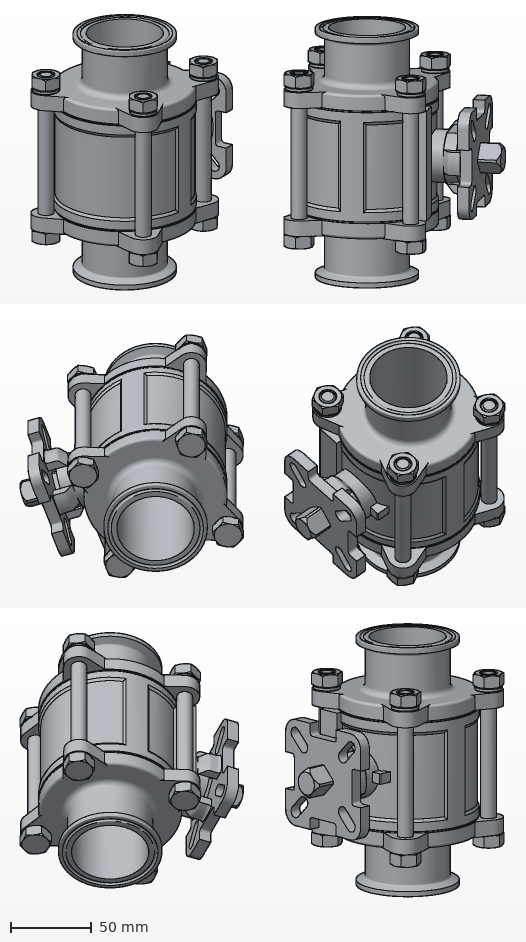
import cadquery as cq
import math


length = 158.0
bore_diameter = 47.7
tube_diameter = 52.8
ferrule_diameter = 64.0
ferrule_rim = 3.3
ferrule_angle = 20.0
ferrule_fillet = 1.3
groove_center_diameter = 56.9
groove_radius = 1.1
groove_edge_fillet = 0.3
tube_root_fillet = 4.0

body_diameter = 88.5
flange_top = 45.5
flange_thickness = 10.0
flange_edge_fillet = 1.9
bolt_spacing = 70.6
lobe_radius = 9.3
lobe_flank_angle = 20.5
seal_gap = 1.0
seal_diameter = 87.2
panel_depth = 1.1
panel_half_height = 28.6
panel_bevel = 1.9
rib_width = 14.7
rib_root_depth = 4.7

bolt_diameter = 10.0
bolt_end_chamfer = 1.1
hex_width = 17.0
nut_height = 8.0
head_height = 8.0
nut_countersink = 11.0
washer_diameter = 17.0
washer_height = 2.5
washer_chamfer = 0.5
hex_chamfer_angle = 30.0

neck_diameter = 33.0
shoulder_diameter = 34.8
shoulder_start = 49.8
shoulder_end = 51.8
neck_end = 59.9
stop_lug_height = 6.6
stop_lug_reach = 23.2
stop_lug_top = 45.3
stop_lug_chamfer = 0.6
pad_reach = 31.6
pad_top = 44.4
neck_root = 28.5
stem_end = 86.1
stem_square = 14.5
stem_round_diameter = 19.0
stem_tip_chamfer = 2.2

plate_size = 67.6
plate_start = 64.5
plate_thickness = 7.5
plate_corner_radius = 9.2
notch_width = 23.4
notch_depth = 7.9
notch_fillet = 2.0
slot_width = 7.5
slot_inner_radius = 25.0
slot_outer_radius = 35.4
leg_width = 14.7
leg_outer_radius = 23.0
leg_inner_offset = 16.3
leg_bend = 56.5
leg_bend_fillet = 3.2
leg_root_height = 1.9
leg_root_flare = 1.3

half_length = length / 2
body_radius = body_diameter / 2
tube_radius = tube_diameter / 2
neck_radius = neck_diameter / 2
shoulder_radius = shoulder_diameter / 2
bolt_offset = bolt_spacing / 2
flange_bottom = flange_top - flange_thickness
body_half_height = flange_bottom - seal_gap
nut_bottom = flange_top + washer_height
nut_top = nut_bottom + nut_height
bolt_points = [(sx * bolt_offset, sy * bolt_offset) for sx in (-1, 1) for sy in (-1, 1)]


def y_plane(y):
    """Sketch plane facing -Y: local x is X, local y is Z; extrude by a negative length to go +Y."""
    return cq.Workplane("XZ", origin=(0, y, 0))


def pipe_end():
    """Upper tube with a flared root and a clamp ferrule whose back face is conical."""
    ferrule_radius = ferrule_diameter / 2
    slope = math.tan(math.radians(ferrule_angle))
    cone_corner = half_length - ferrule_rim - slope * (ferrule_radius - tube_radius)
    tangent_length = ferrule_fillet * math.tan(math.radians(45 - ferrule_angle / 2))
    fillet_start = tube_radius + tangent_length * math.cos(math.radians(ferrule_angle))
    profile = (
        cq.Workplane("XZ")
        .moveTo(0, flange_bottom)
        .lineTo(0, half_length)
        .lineTo(ferrule_radius, half_length)
        .lineTo(ferrule_radius, half_length - ferrule_rim)
        .lineTo(fillet_start, cone_corner + slope * (fillet_start - tube_radius))
        .tangentArcPoint((tube_radius, cone_corner - tangent_length), relative=False)
        .lineTo(tube_radius, flange_top + tube_root_fillet)
        .radiusArc((tube_radius + tube_root_fillet, flange_top), -tube_root_fillet)
        .lineTo(tube_radius + tube_root_fillet, flange_bottom)
        .close()
    )
    groove = cq.Workplane("XY").add(
        cq.Solid.makeTorus(groove_center_diameter / 2, groove_radius, cq.Vector(0, 0, half_length))
    )
    tube = profile.revolve(360, (0, 0, 0), (0, 1, 0)).cut(groove)
    for edge_rank in (0, 1):
        rim = cq.selectors.RadiusNthSelector(edge_rank)
        tube = tube.faces(">Z").edges(rim).fillet(groove_edge_fillet)
    return tube


def corner_lobe():
    """Flange lobe at the (+X, +Y) bolt: a round tip whose straight flanks splay towards the disc."""
    flank = math.radians(lobe_flank_angle)
    side_dx = lobe_radius * math.sin(flank)
    side_dy = lobe_radius * math.cos(flank)
    flank_length = bolt_offset
    run = flank_length * math.cos(flank)
    drop = flank_length * math.sin(flank)
    upper = (bolt_offset - side_dx, bolt_offset + side_dy)
    right = (bolt_offset + side_dy, bolt_offset - side_dx)
    tip = bolt_offset + lobe_radius / math.sqrt(2)
    return (
        cq.Workplane("XY", origin=(0, 0, flange_bottom))
        .moveTo(0, 0)
        .lineTo(upper[0] - run, upper[1] - drop)
        .lineTo(*upper)
        .threePointArc((tip, tip), right)
        .lineTo(right[0] - drop, right[1] - run)
        .close()
        .extrude(flange_thickness)
    )


def end_flange():
    """Upper flange: a disc with a rounded top edge and four bolt lobes."""
    flange = (
        cq.Workplane("XY", origin=(0, 0, flange_bottom))
        .circle(body_radius)
        .extrude(flange_thickness)
        .faces(">Z")
        .edges()
        .fillet(flange_edge_fillet)
    )
    lobe = corner_lobe()
    for quarter in range(4):
        flange = flange.union(lobe.rotate((0, 0, 0), (0, 0, 1), 90 * quarter))
    return flange


def rib():
    """Bevel-sided rib along +X that keeps the body wall between two panels."""
    half = rib_width / 2
    edge = math.sqrt(body_radius**2 - half**2)
    root = edge - rib_root_depth
    spread = half + rib_root_depth
    return (
        cq.Workplane("XY", origin=(0, 0, -panel_half_height))
        .polyline([
            (root, -spread),
            (edge, -half),
            (body_radius, -half),
            (body_radius, half),
            (edge, half),
            (root, spread),
        ])
        .close()
        .extrude(2 * panel_half_height)
    )


def valve_body():
    """Round body with shallow bevelled panels left between two ribs (+X and -X)."""
    outer = body_radius + panel_depth
    floor = body_radius - panel_depth
    mouth = panel_half_height + panel_bevel
    panels = (
        cq.Workplane("XZ")
        .polyline([
            (outer, mouth),
            (floor, panel_half_height - panel_bevel),
            (floor, panel_bevel - panel_half_height),
            (outer, -mouth),
        ])
        .close()
        .revolve(360, (0, 0, 0), (0, 1, 0))
    )
    body = cq.Workplane("XY").circle(body_radius).extrude(body_half_height, both=True)
    ribbed = body.cut(panels)
    kept = rib().intersect(body)
    ribbed = ribbed.union(kept).union(kept.mirror("YZ"))
    seal = cq.Workplane("XY", origin=(0, 0, body_half_height)).circle(seal_diameter / 2).extrude(seal_gap)
    return ribbed.union(seal).union(seal.mirror("XY"))


def hexagon(height):
    """Hexagon standing on z = 0, points along X, corners turned off conically at both faces."""
    corner_radius = hex_width / math.sqrt(3)
    drop = (corner_radius - hex_width / 2) * math.tan(math.radians(hex_chamfer_angle))
    turned = (
        cq.Workplane("XZ")
        .polyline([
            (0, 0),
            (hex_width / 2, 0),
            (corner_radius, drop),
            (corner_radius, height - drop),
            (hex_width / 2, height),
            (0, height),
        ])
        .close()
        .revolve(360, (0, 0, 0), (0, 1, 0))
    )
    return cq.Workplane("XY").polygon(6, 2 * corner_radius).extrude(height).intersect(turned)


def bolt_set():
    """Bolt with its head below, and a washer and countersunk nut above; axis on Z."""
    shank = (
        cq.Workplane("XY", origin=(0, 0, -flange_top))
        .circle(bolt_diameter / 2)
        .extrude(flange_top + nut_top)
        .faces(">Z")
        .chamfer(bolt_end_chamfer)
    )
    head = hexagon(head_height).translate((0, 0, -flange_top - head_height))
    washer = (
        cq.Workplane("XY", origin=(0, 0, flange_top))
        .circle(washer_diameter / 2)
        .extrude(washer_height)
        .edges()
        .chamfer(washer_chamfer)
    )
    nut = (
        hexagon(nut_height)
        .faces(">Z")
        .workplane()
        .cskHole(bolt_diameter, nut_countersink, 90)
        .translate((0, 0, nut_bottom))
    )
    return nut.union(washer).union(shank).union(head)


def stem_neck():
    """Round neck on the body with a flared shoulder under the leg feet."""
    return (
        cq.Workplane("XY")
        .moveTo(0, neck_root)
        .lineTo(neck_radius, neck_root)
        .lineTo(neck_radius, shoulder_start)
        .tangentArcPoint((shoulder_radius, shoulder_end), relative=False)
        .lineTo(neck_radius, shoulder_end)
        .lineTo(neck_radius, neck_end)
        .lineTo(0, neck_end)
        .close()
        .revolve(360, (0, 0, 0), (0, 1, 0))
    )


def stop_lug():
    """Small chamfered lug on the -X side of the neck."""
    return (
        cq.Workplane("XY")
        .box(stop_lug_reach, stop_lug_top - neck_root, stop_lug_height, centered=(False, False, True))
        .translate((-stop_lug_reach, neck_root, 0))
        .edges("<X and >Y")
        .chamfer(stop_lug_chamfer)
    )


def side_pad():
    """Flat-topped pad on the +X side of the neck, as tall as the body."""
    width = pad_reach - neck_radius
    return (
        cq.Workplane("XY")
        .box(width, pad_top - neck_root, 2 * body_half_height, centered=(False, False, True))
        .translate((neck_radius, neck_root, 0))
    )


def stem():
    """Square stem turned 45 degrees, its corners rounded and its tip chamfered by turning."""
    stem_length = stem_end - shoulder_end
    square = (
        y_plane(shoulder_end)
        .transformed(rotate=(0, 0, 45))
        .rect(stem_square, stem_square)
        .extrude(-stem_length)
    )
    turned = (
        y_plane(shoulder_end)
        .circle(stem_round_diameter / 2)
        .extrude(-stem_length)
        .faces(">Y")
        .chamfer(stem_tip_chamfer)
    )
    return square.intersect(turned)


def mounting_plate():
    """Square plate with rounded corners, a notch in each side and a diagonal slot in each corner."""
    plate = (
        y_plane(plate_start)
        .rect(plate_size, plate_size)
        .extrude(-plate_thickness)
        .edges("|Y")
        .fillet(plate_corner_radius)
    )
    notch = (
        y_plane(plate_start)
        .center(plate_size / 2, 0)
        .rect(2 * notch_depth, notch_width)
        .extrude(-plate_thickness)
        .edges("|Y and <X")
        .fillet(notch_fillet)
    )
    slot = (
        y_plane(plate_start)
        .center((slot_inner_radius + slot_outer_radius) / 2, 0)
        .slot2D(slot_outer_radius - slot_inner_radius + slot_width, slot_width)
        .extrude(-plate_thickness)
    )
    for quarter in range(4):
        plate = plate.cut(notch.rotate((0, 0, 0), (0, 1, 0), 90 * quarter))
        plate = plate.cut(slot.rotate((0, 0, 0), (0, 1, 0), 90 * quarter + 45))
    return plate


def plate_legs():
    """Four legs slanting outwards from the shoulder rim, then parallel to the stem up to the plate."""
    slant = math.atan2(leg_bend - shoulder_end, leg_outer_radius - shoulder_radius)
    bend_tangent = leg_bend_fillet * math.tan((math.pi / 2 - slant) / 2)
    slant_end = (
        leg_outer_radius - bend_tangent * math.cos(slant),
        leg_bend - bend_tangent * math.sin(slant),
    )
    ring = (
        cq.Workplane("XY")
        .moveTo(0, shoulder_start)
        .lineTo(neck_radius, shoulder_start)
        .lineTo(neck_radius, shoulder_end)
        .lineTo(shoulder_radius, shoulder_end)
        .lineTo(*slant_end)
        .tangentArcPoint((leg_outer_radius, leg_bend + bend_tangent), relative=False)
        .lineTo(leg_outer_radius, plate_start - leg_root_height)
        .tangentArcPoint((leg_outer_radius + leg_root_flare, plate_start), relative=False)
        .lineTo(0, plate_start)
        .close()
        .revolve(360, (0, 0, 0), (0, 1, 0))
    )
    sector = (
        cq.Workplane("XY")
        .box(plate_size / 2, plate_start, leg_width, centered=(False, False, True))
        .translate((leg_inner_offset, 0, 0))
    )
    leg = ring.intersect(sector)
    legs = leg
    for quarter in range(1, 4):
        legs = legs.union(leg.rotate((0, 0, 0), (0, 1, 0), 90 * quarter))
    return legs


upper_end = pipe_end().union(end_flange())
result = valve_body().union(upper_end).union(upper_end.mirror("XY"))
result = result.union(stem_neck()).union(stop_lug()).union(side_pad())
result = result.union(stem()).union(mounting_plate()).union(plate_legs())

bolt = bolt_set()
for x, y in bolt_points:
    result = result.union(bolt.translate((x, y, 0)))

bore = cq.Workplane("XY").circle(bore_diameter / 2).extrude(half_length, both=True)
result = result.cut(bore)